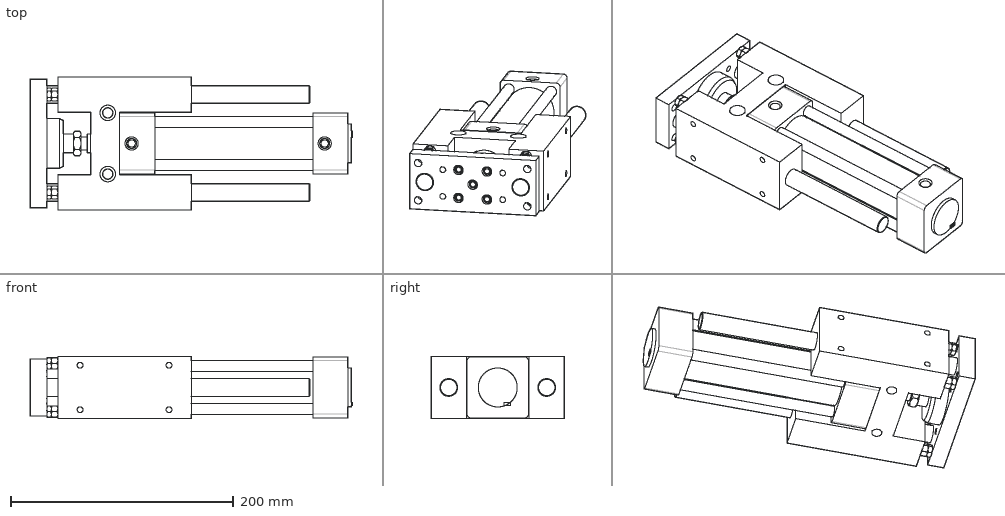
import cadquery as cq
import math


PART_FRONT_X = -145.0
PLATE_THICKNESS = 15.0
PLATE_BACK_X = PART_FRONT_X + PLATE_THICKNESS
PLATE_GAP = 10.0
HOUSING_FRONT_X = PLATE_BACK_X + PLATE_GAP
HOUSING_LENGTH = 120.0
FRONT_SLOT_DEPTH = 29.5
BRIDGE_FRONT_X = HOUSING_FRONT_X + FRONT_SLOT_DEPTH
BRIDGE_LENGTH = 26.0
BRIDGE_BACK_X = BRIDGE_FRONT_X + BRIDGE_LENGTH
HOUSING_BACK_X = HOUSING_FRONT_X + HOUSING_LENGTH
HEAD_LENGTH = 31.5
FRONT_HEAD_BACK_X = BRIDGE_BACK_X + HEAD_LENGTH
REAR_HEAD_FRONT_X = 109.3
REAR_HEAD_BACK_X = REAR_HEAD_FRONT_X + HEAD_LENGTH
PART_BACK_X = 145.0

PLATE_WIDTH = 116.0
PLATE_HEIGHT = 51.5
CORNER_HOLE_DIAMETER = 6.7
CORNER_HOLE_Y = 50.2
CORNER_HOLE_Z = 17.5
INNER_HOLE_DIAMETER = 5.2
INNER_HOLE_Y = 27.5
INNER_HOLE_Z = 12.5
SCREW_HOLE_DIAMETER = 4.5
SCREW_SINK_DIAMETER = 8.7
SCREW_SINK_FLOOR_DIAMETER = 6.7
SCREW_HOLE_OFFSET = 13.0

COUPLING_DIAMETER = 45.0
COUPLING_LENGTH = 14.8
COUPLING_BEVEL_LENGTH = 3.5
COUPLING_BEVEL_DEPTH = 1.7
ROD_DIAMETER = 17.0
COUPLING_NECK_LENGTH = 9.0
LOCK_NUT_FLATS = 19.0
LOCK_NUT_LENGTH = 7.0
ROD_THREAD_DIAMETER = 12.0
ROD_SHOULDER_X = -94.0
GUIDE_ROD_DIAMETER = 16.0
GUIDE_ROD_Y = 44.0
GUIDE_ROD_BACK_X = 106.7
ROD_CHAMFER = 0.5

HOUSING_WIDTH = 120.0
HOUSING_HEIGHT = 56.0
SLOT_WIDTH = 56.0
COLLAR_DIAMETER = 35.0
BRIDGE_RECESS_DEPTH = 5.0
BRIDGE_HOLE_DIAMETER = 9.0
BRIDGE_SINK_DIAMETER = 14.0
BRIDGE_SINK_DEPTH = 14.5
BRIDGE_HOLE_X = -75.0
BRIDGE_HOLE_Y = 27.5
SIDE_HOLE_DIAMETER = 5.2
SIDE_HOLE_DEPTH = 8.7
SIDE_HOLE_INSET = 20.0
SIDE_HOLE_Z = 20.0
STOP_SCREW_FLATS = 10.2
STOP_SCREW_HEAD_LENGTH = 4.0
STOP_SCREW_Z = 21.8

HEAD_SIZE = 55.0
HEAD_FILLET = 3.5
TUBE_DIAMETER = 44.0
TIE_ROD_DIAMETER = 10.0
TIE_ROD_OFFSET = 19.5
REAR_COLLAR_LENGTH = 3.2
REAR_LUG_WIDTH = 5.8
REAR_LUG_HEIGHT = 3.0
REAR_LUG_Y = 8.5
REAR_LUG_Z = -14.8
PORT_DIAMETER = 9.0
PORT_SINK_DIAMETER = 12.0
PORT_THREAD_DEPTH = 8.7
PORT_CORE_DIAMETER = 6.7
PORT_DEPTH = 13.0
PORT_INSET = 10.7

SIGNS = (-1, 1)
DOWN = (0, 0, -1)
BACKWARD = (1, 0, 0)


def block(x_start, length, width, height):
    """Block centred on the X axis."""
    return cq.Workplane("XY", origin=(x_start, 0, 0)).box(length, width, height, centered=(False, True, True))


def bar(x_start, x_end, diameter, y=0.0, z=0.0):
    """Round bar along X."""
    return cq.Workplane("YZ", origin=(x_start, y, z)).circle(diameter / 2).extrude(x_end - x_start)


def cone(start, direction, start_diameter, end_diameter):
    """45 degree cone that narrows along the given direction."""
    start_radius = start_diameter / 2
    end_radius = end_diameter / 2
    solid = cq.Solid.makeCone(
        start_radius, end_radius, start_radius - end_radius, cq.Vector(*start), cq.Vector(*direction)
    )
    return cq.Workplane(solid)


def hexagon(x_start, length, flats, y=0.0, z=0.0):
    """Hexagonal nut or screw head along X with corners to +Y and -Y and both ends bevelled."""
    corners = flats / math.cos(math.pi / 6)
    face_radius = flats / 2
    bevel = corners / 2 - face_radius
    prism = cq.Workplane("YZ").polygon(6, corners).extrude(length)
    envelope = (
        cq.Workplane("XY")
        .moveTo(0, 0)
        .lineTo(0, face_radius)
        .lineTo(bevel, corners / 2)
        .lineTo(length - bevel, corners / 2)
        .lineTo(length, face_radius)
        .lineTo(length, 0)
        .close()
        .revolve(360, (0, 0, 0), (1, 0, 0))
    )
    return prism.intersect(envelope).translate((x_start, y, z))


def corner_points(y, z):
    """Four (y, z) places mirrored about both axes."""
    return [(sy * y, sz * z) for sy in SIGNS for sz in SIGNS]


def front_plate():
    plate = block(PART_FRONT_X, PLATE_THICKNESS, PLATE_WIDTH, PLATE_HEIGHT)
    for y, z in corner_points(CORNER_HOLE_Y, CORNER_HOLE_Z):
        plate = plate.cut(bar(PART_FRONT_X, PLATE_BACK_X, CORNER_HOLE_DIAMETER, y, z))
    for y, z in corner_points(INNER_HOLE_Y, INNER_HOLE_Z):
        plate = plate.cut(bar(PART_FRONT_X, PLATE_BACK_X, INNER_HOLE_DIAMETER, y, z))
    for y, z in corner_points(SCREW_HOLE_OFFSET, SCREW_HOLE_OFFSET) + [(0, 0)]:
        plate = plate.cut(bar(PART_FRONT_X, PLATE_BACK_X, SCREW_HOLE_DIAMETER, y, z))
        sink = cone((PART_FRONT_X, y, z), BACKWARD, SCREW_SINK_DIAMETER, SCREW_SINK_FLOOR_DIAMETER)
        plate = plate.cut(sink)
    for side in SIGNS:
        plate = plate.cut(bar(PART_FRONT_X, PLATE_BACK_X, GUIDE_ROD_DIAMETER, side * GUIDE_ROD_Y))
    return plate


def guide_rod(y):
    """Guide rod from the plate's front face, with both ends chamfered."""
    return bar(PART_FRONT_X, GUIDE_ROD_BACK_X, GUIDE_ROD_DIAMETER, y).faces("<X or >X").chamfer(ROD_CHAMFER)


def piston_rod():
    """Coupling disc, lock nut and piston rod, which ends at the back of the front head."""
    disc_back_x = PLATE_BACK_X + COUPLING_LENGTH
    nut_x = disc_back_x + COUPLING_NECK_LENGTH
    disc = bar(PLATE_BACK_X, disc_back_x, COUPLING_DIAMETER)
    disc = disc.faces(">X").chamfer(COUPLING_BEVEL_LENGTH, COUPLING_BEVEL_DEPTH)
    neck = bar(disc_back_x, nut_x, ROD_DIAMETER)
    nut = hexagon(nut_x, LOCK_NUT_LENGTH, LOCK_NUT_FLATS)
    thread = bar(nut_x + LOCK_NUT_LENGTH, ROD_SHOULDER_X, ROD_THREAD_DIAMETER)
    rod = bar(ROD_SHOULDER_X, FRONT_HEAD_BACK_X, ROD_DIAMETER).faces("<X").chamfer(ROD_CHAMFER)
    return disc.union(neck).union(nut).union(thread).union(rod)


def sliding_body():
    body = front_plate().union(piston_rod())
    for side in SIGNS:
        body = body.union(guide_rod(side * GUIDE_ROD_Y))
    return body


def stop_screw(y, z):
    """Hexagonal screw head against the plate, with its lock nut against the housing."""
    head = hexagon(PLATE_BACK_X, STOP_SCREW_HEAD_LENGTH, STOP_SCREW_FLATS, y, z)
    nut_x = PLATE_BACK_X + STOP_SCREW_HEAD_LENGTH
    nut = hexagon(nut_x, HOUSING_FRONT_X - nut_x, STOP_SCREW_FLATS, y, z)
    return head.union(nut)


def bridge_holes():
    """Two counterbored vertical holes beside the cylinder axis."""
    places = (
        cq.Workplane("XY", origin=(BRIDGE_HOLE_X, 0, HOUSING_HEIGHT / 2))
        .pushPoints([(0, side * BRIDGE_HOLE_Y) for side in SIGNS])
    )
    through = places.circle(BRIDGE_HOLE_DIAMETER / 2).extrude(-HOUSING_HEIGHT)
    return through.union(places.circle(BRIDGE_SINK_DIAMETER / 2).extrude(-BRIDGE_SINK_DEPTH))


def side_holes(side):
    """Four blind holes in the arm face on the given side of Y."""
    stations = (HOUSING_FRONT_X + SIDE_HOLE_INSET, HOUSING_BACK_X - SIDE_HOLE_INSET)
    return (
        cq.Workplane("XZ", origin=(0, side * HOUSING_WIDTH / 2, 0))
        .pushPoints([(x, sign * SIDE_HOLE_Z) for x in stations for sign in SIGNS])
        .circle(SIDE_HOLE_DIAMETER / 2)
        .extrude(side * SIDE_HOLE_DEPTH)
    )


def housing():
    """H-shaped block with two guide arms joined by a bridge, and its stop screws."""
    body = block(HOUSING_FRONT_X, HOUSING_LENGTH, HOUSING_WIDTH, HOUSING_HEIGHT)
    body = body.cut(block(HOUSING_FRONT_X, FRONT_SLOT_DEPTH, SLOT_WIDTH, HOUSING_HEIGHT))
    body = body.cut(block(BRIDGE_BACK_X, HOUSING_BACK_X - BRIDGE_BACK_X, SLOT_WIDTH, HOUSING_HEIGHT))
    body = body.cut(bar(BRIDGE_FRONT_X, BRIDGE_FRONT_X + BRIDGE_RECESS_DEPTH, COLLAR_DIAMETER))
    body = body.cut(bridge_holes())
    for side in SIGNS:
        body = body.cut(bar(HOUSING_FRONT_X, HOUSING_BACK_X, GUIDE_ROD_DIAMETER, side * GUIDE_ROD_Y))
        body = body.cut(side_holes(side))
    for y, z in corner_points(GUIDE_ROD_Y, STOP_SCREW_Z):
        body = body.union(stop_screw(y, z))
    return body


def cylinder_head(x_start):
    """Square head with rounded long edges and a countersunk port on top."""
    head = block(x_start, HEAD_LENGTH, HEAD_SIZE, HEAD_SIZE).edges("|X").fillet(HEAD_FILLET)
    port_x = x_start + PORT_INSET
    top = (port_x, 0, HEAD_SIZE / 2)
    thread_end = (port_x, 0, HEAD_SIZE / 2 - PORT_THREAD_DEPTH)
    port = cq.Workplane("XY", origin=top)
    head = head.cut(port.circle(PORT_DIAMETER / 2).extrude(-PORT_THREAD_DEPTH))
    head = head.cut(port.circle(PORT_CORE_DIAMETER / 2).extrude(-PORT_DEPTH))
    head = head.cut(cone(top, DOWN, PORT_SINK_DIAMETER, PORT_DIAMETER))
    return head.cut(cone(thread_end, DOWN, PORT_DIAMETER, PORT_CORE_DIAMETER))


def cylinder():
    """Two heads with the tube and four tie rods between them."""
    body = cylinder_head(BRIDGE_BACK_X)
    body = body.union(cylinder_head(REAR_HEAD_FRONT_X))
    body = body.union(bar(FRONT_HEAD_BACK_X, REAR_HEAD_FRONT_X, TUBE_DIAMETER))
    for y, z in corner_points(TIE_ROD_OFFSET, TIE_ROD_OFFSET):
        body = body.union(bar(FRONT_HEAD_BACK_X, REAR_HEAD_FRONT_X, TIE_ROD_DIAMETER, y, z))
    collar_back_x = REAR_HEAD_BACK_X + REAR_COLLAR_LENGTH
    body = body.union(bar(REAR_HEAD_BACK_X, collar_back_x, COLLAR_DIAMETER))
    lug = block(collar_back_x, PART_BACK_X - collar_back_x, REAR_LUG_WIDTH, REAR_LUG_HEIGHT)
    return body.union(lug.translate((0, REAR_LUG_Y, REAR_LUG_Z)))


def fixed_body():
    body = housing().union(cylinder())
    return body.cut(bar(BRIDGE_FRONT_X, FRONT_HEAD_BACK_X, ROD_DIAMETER))


result = cq.Compound.makeCompound([sliding_body().val(), fixed_body().val()])